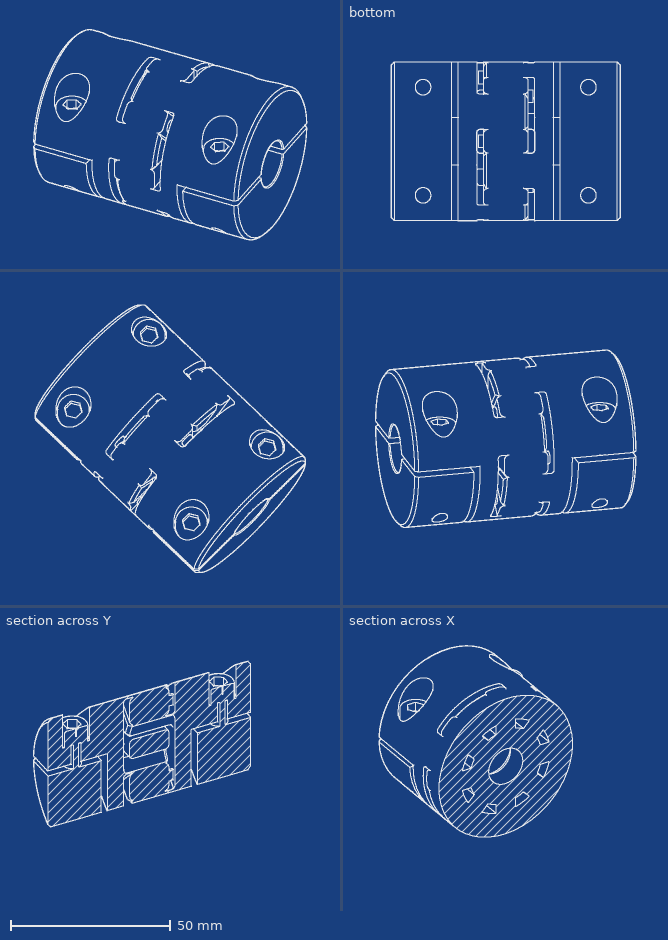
import cadquery as cq
import math


length = 72.0
outer_diameter = 50.0
outer_radius = outer_diameter / 2
half_length = length / 2

hub_bore = 15.0
bore_chamfer = 0.35
end_chamfer = 1.0
hub_face = 9.1

spider_half_width = 7.05
spider_bore = 12.5
spider_ring_diameter = 27.0
arm_count = 8
arm_width = 7.4
arm_edge_fillet = 1.5
pin_diameter = 4.0
pin_height = 1.5
pin_circle_radius = 20.0

jaws_per_hub = arm_count // 2
arm_pitch = 360 / arm_count
first_jaw_angle = 1.5 * arm_pitch
jaw_inner_radius = 16.5
jaw_tip_chamfer = 1.0
jaw_root_fillet = 1.0
rough_margin = 3.6
rough_radius = outer_radius + rough_margin
rough_hub_radius = rough_radius + rough_margin

slit_width = 1.8
relief_width = 2.0
relief_inner = 15.0

screw_x = 26.0
screw_y = 17.0
counterbore_diameter = 11.0
counterbore_floor = 8.0
clearance_diameter = 6.5
tapped_diameter = 4.9
head_diameter = 10.0
head_height = 6.0
head_fillet = 0.6
shank_diameter = 6.0
shank_length = 20.0
socket_across_flats = 5.0
socket_depth = 3.0
socket_point_angle = 120


def x_cylinder(diameter, start, end):
    """Cylinder on the X axis between two X positions."""
    return cq.Workplane("YZ", origin=(start, 0, 0)).circle(diameter / 2).extrude(end - start)


def z_cylinder(diameter, bottom, top):
    """Cylinder along Z at the origin."""
    return cq.Workplane("XY", origin=(0, 0, bottom)).circle(diameter / 2).extrude(top - bottom)


def turn(shape, angle):
    """Rotate a shape about the X axis."""
    return shape.rotate((0, 0, 0), (1, 0, 0), angle)


def polar(radius, angle):
    """Point in the YZ plane; the angle in radians runs from +Y toward +Z."""
    return radius * math.cos(angle), radius * math.sin(angle)


def jaw():
    """One left-hub jaw centred on +Y, left oversize outside for trimming to the rim.

    Its sides are parallel to the neighbouring spider arms.
    """
    half_pitch = math.radians(arm_pitch / 2)
    outer_half = half_pitch - math.asin(arm_width / 2 / rough_radius)
    inner_half = half_pitch - math.asin(arm_width / 2 / jaw_inner_radius)
    profile = (
        cq.Workplane("YZ", origin=(-hub_face, 0, 0))
        .moveTo(*polar(jaw_inner_radius, -inner_half))
        .lineTo(*polar(rough_radius, -outer_half))
        .threePointArc((rough_radius, 0), polar(rough_radius, outer_half))
        .lineTo(*polar(jaw_inner_radius, inner_half))
        .threePointArc((jaw_inner_radius, 0), polar(jaw_inner_radius, -inner_half))
        .close()
    )
    return profile.extrude(hub_face + spider_half_width).faces(">X").chamfer(jaw_tip_chamfer)


def is_jaw_root(edge):
    """True for the corner edges where a jaw meets the hub's inner face."""
    center = edge.Center()
    return abs(center.x + hub_face) < 0.01 and math.hypot(center.y, center.z) < outer_radius


def hub_with_jaws():
    """Left hub with its jaws, before the clamp is cut."""
    hub = x_cylinder(2 * rough_hub_radius, -half_length, -hub_face)
    for index in range(jaws_per_hub):
        hub = hub.union(turn(jaw(), first_jaw_angle + index * 360 / jaws_per_hub))
    hub = hub.edges().filter(is_jaw_root).fillet(jaw_root_fillet)
    rim = x_cylinder(outer_diameter, -half_length, spider_half_width)
    rim = rim.faces("<X").chamfer(end_chamfer).faces(">X").chamfer(jaw_tip_chamfer)
    bore = x_cylinder(hub_bore, -half_length, -hub_face)
    bore_mouth = cq.Solid.makeCone(
        hub_bore / 2 + bore_chamfer,
        hub_bore / 2,
        bore_chamfer,
        pnt=cq.Vector(-half_length, 0, 0),
        dir=cq.Vector(1, 0, 0),
    )
    return hub.intersect(rim).cut(bore).cut(cq.Workplane(bore_mouth))


def clamp_slit():
    """L-shaped cut that frees the lower clamp half of the left hub."""
    slit = cq.Workplane("XY").box(half_length - relief_inner, outer_diameter, slit_width)
    slit = slit.translate((-(half_length + relief_inner) / 2, 0, 0))
    relief_height = outer_radius + slit_width / 2
    relief = cq.Workplane("XY").box(relief_width, outer_diameter, relief_height)
    relief = relief.translate((-relief_inner - relief_width / 2, 0, slit_width / 2 - relief_height / 2))
    return slit.union(relief)


def screw_hole():
    """Counterbore and clearance above the slit, tapped hole right through below it."""
    counterbore = z_cylinder(counterbore_diameter, counterbore_floor, outer_radius)
    clearance = z_cylinder(clearance_diameter, 0, counterbore_floor)
    tapped = z_cylinder(tapped_diameter, -outer_radius, 0)
    return counterbore.union(clearance).union(tapped)


def screw():
    """Socket head cap screw seated on the counterbore floor."""
    head_top = counterbore_floor + head_height
    head = z_cylinder(head_diameter, counterbore_floor, head_top).faces(">Z").edges().fillet(head_fillet)
    shank = z_cylinder(shank_diameter, counterbore_floor - shank_length, counterbore_floor)
    socket_radius = socket_across_flats / math.sqrt(3)
    point_depth = socket_radius / math.tan(math.radians(socket_point_angle / 2))
    envelope = (
        cq.Workplane("XZ")
        .polyline([
            (0, head_top),
            (socket_radius, head_top),
            (socket_radius, head_top - socket_depth),
            (0, head_top - socket_depth - point_depth),
        ])
        .close()
        .revolve(360, (0, 0, 0), (0, 1, 0))
    )
    hexagon = (
        cq.Workplane("XY", origin=(0, 0, head_top))
        .polygon(6, 2 * socket_radius)
        .extrude(-socket_depth - point_depth)
        .rotate((0, 0, 0), (0, 0, 1), 90)
    )
    return head.union(shank).cut(hexagon.intersect(envelope))


def clamping_hub():
    """Complete left hub with its slit and two clamp screws."""
    hub = hub_with_jaws().cut(clamp_slit())
    for y in (-screw_y, screw_y):
        position = (-screw_x, y, 0)
        hub = hub.cut(screw_hole().translate(position)).union(screw().translate(position))
    return hub


def spider():
    """Ring with arms that fill the gaps between jaws, and pins on alternate ends."""
    bar = cq.Workplane("XY").box(2 * spider_half_width, outer_diameter, arm_width)
    bar = bar.edges("|Y").fillet(arm_edge_fillet)
    body = x_cylinder(spider_ring_diameter, -spider_half_width, spider_half_width)
    for index in range(arm_count // 2):
        body = body.union(turn(bar, index * arm_pitch))
    body = body.intersect(x_cylinder(outer_diameter, -half_length, half_length))
    body = body.cut(x_cylinder(spider_bore, -half_length, half_length))
    for index in range(arm_count):
        side = -1 if index % 2 == 0 else 1
        pin = x_cylinder(pin_diameter, 0, side * (spider_half_width + pin_height))
        body = body.union(turn(pin.translate((0, pin_circle_radius, 0)), index * arm_pitch))
    return body


left_hub = clamping_hub()
right_hub = left_hub.rotate((0, 0, 0), (0, 0, 1), 180)
result = left_hub.union(right_hub).union(spider())